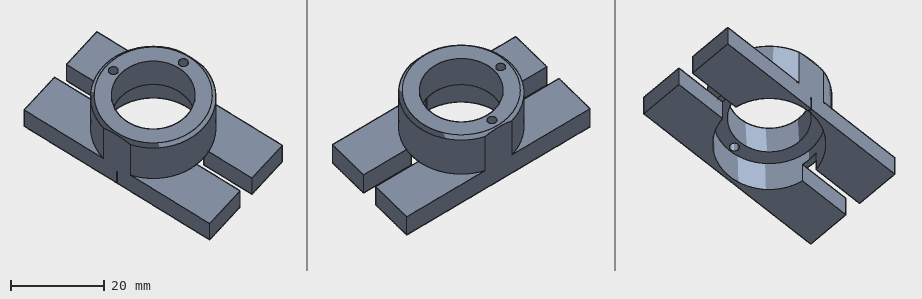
import cadquery as cq

length = 50.0
width = 26.0
base_height = 6.0
slot_width = 4.2

total_height = 18.0
boss_diameter = 27.0
bore_diameter = 18.0
rim_chamfer = 0.8

counterbore_diameter = 24.3
counterbore_depth = 9.4

pin_hole_diameter = 2.1
pin_circle_radius = 10.75

slit_width = 0.25
slit_height = 4.0
slit_depth = width / 2


def block(size_x, size_y, size_z):
    """Box centred on the Z axis and standing on the floor."""
    return cq.Workplane("XY").box(size_x, size_y, size_z, centered=(True, True, False))


def cylinder(diameter, height):
    """Cylinder on the Z axis, standing on the floor."""
    return cq.Workplane("XY").circle(diameter / 2).extrude(height)


def make_boss():
    """Chamfered cylinder, trimmed to flats at the plate's width."""
    boss = cylinder(boss_diameter, total_height).faces(">Z").chamfer(rim_chamfer)
    return boss.intersect(block(length, width, total_height))


def make_pin_holes():
    """Holes at the back and left of the rim, through the full height."""
    centers = [(0, pin_circle_radius), (-pin_circle_radius, 0)]
    return cq.Workplane("XY").pushPoints(centers).circle(pin_hole_diameter / 2).extrude(total_height)


body = block(length, width, base_height).union(make_boss())

body = body.cut(block(length, slot_width, base_height))

body = body.cut(cylinder(bore_diameter, total_height))
body = body.cut(cylinder(counterbore_diameter, counterbore_depth))
body = body.cut(make_pin_holes())

slit = block(slit_width, slit_depth, slit_height).translate((0, -slit_depth / 2, 0))
result = body.cut(slit)